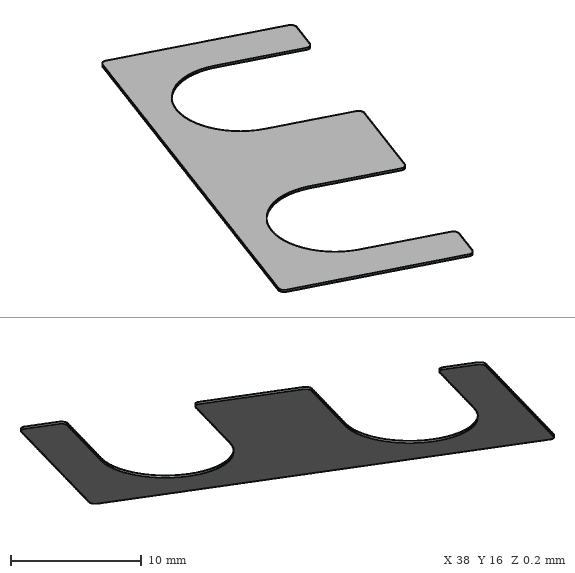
import cadquery as cq

length = 38.0
width = 16.0
thickness = 0.2
corner_radius = 0.5

slot_width = 10.5
slot_spacing = 20.0
slot_radius = slot_width / 2
back_edge = width / 2
slot_center_y = 0.0


def open_slot(center_x):
    """Cutter for one slot: a round end plus a straight run to the back edge."""
    round_end = (
        cq.Workplane("XY")
        .center(center_x, slot_center_y)
        .circle(slot_radius)
        .extrude(thickness)
    )
    straight_run = (
        cq.Workplane("XY")
        .center(center_x, (slot_center_y + back_edge) / 2)
        .rect(slot_width, back_edge - slot_center_y)
        .extrude(thickness)
    )
    return round_end.union(straight_run)


plate = cq.Workplane("XY").rect(length, width).extrude(thickness)
for side in (-1, 1):
    plate = plate.cut(open_slot(side * slot_spacing / 2))

back_corners = plate.faces(">Y").edges("|Z")
front_corners = plate.faces("<Y").edges("|Z")
result = plate.newObject(back_corners.vals() + front_corners.vals()).fillet(corner_radius)